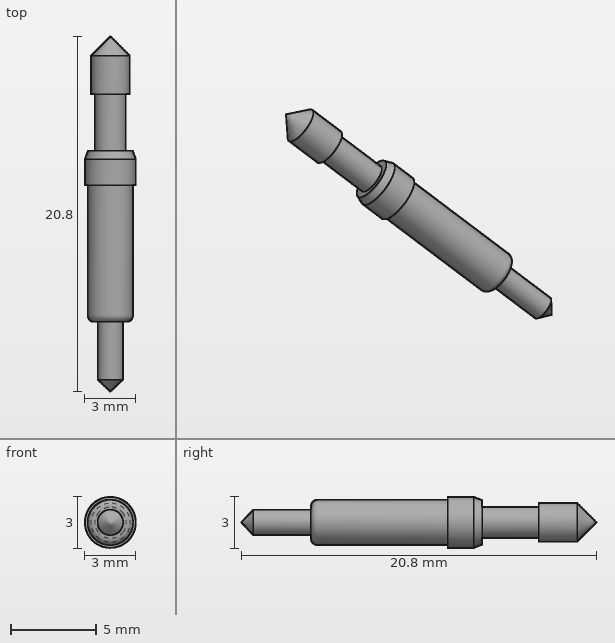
import cadquery as cq

total_length = 20.8

tail_radius = 0.75
tail_cone_length = 0.7
tail_length = 4.08

barrel_radius = 1.33
barrel_length = 8.0
barrel_fillet = 0.4

collar_radius = 1.5
collar_length = 2.02
collar_chamfer_length = 0.5
collar_chamfer_depth = 0.19

neck_radius = 0.92
head_radius = 1.15
head_length = 2.25
head_cone_length = head_radius

barrel_start = tail_length
collar_start = barrel_start + barrel_length
collar_end = collar_start + collar_length
head_cone_start = total_length - head_cone_length
head_start = head_cone_start - head_length


def cylinder(radius, start, end):
    """Solid cylinder on the Y axis between two stations."""
    plane = cq.Plane(origin=(0, start, 0), xDir=(1, 0, 0), normal=(0, 1, 0))
    return cq.Workplane(plane).circle(radius).extrude(end - start)


def make_plunger():
    """Revolved pin with conical tips at both ends."""
    return (
        cq.Workplane("XY")
        .polyline([
            (0, 0),
            (tail_radius, tail_cone_length),
            (tail_radius, barrel_start),
            (neck_radius, barrel_start),
            (neck_radius, head_start),
            (head_radius, head_start),
            (head_radius, head_cone_start),
            (0, total_length),
        ])
        .close()
        .revolve(360, (0, 0, 0), (0, 1, 0))
    )


def make_barrel():
    """Barrel with its -Y rim rounded."""
    barrel = cylinder(barrel_radius, barrel_start, collar_start)
    return barrel.faces("<Y").edges().fillet(barrel_fillet)


def make_collar():
    """Collar tapering steeply at its +Y rim."""
    chamfer_start = collar_end - collar_chamfer_length
    return (
        cq.Workplane("XY")
        .polyline([
            (0, collar_start),
            (collar_radius, collar_start),
            (collar_radius, chamfer_start),
            (collar_radius - collar_chamfer_depth, collar_end),
            (0, collar_end),
        ])
        .close()
        .revolve(360, (0, 0, 0), (0, 1, 0))
    )


result = make_plunger().union(make_barrel()).union(make_collar())